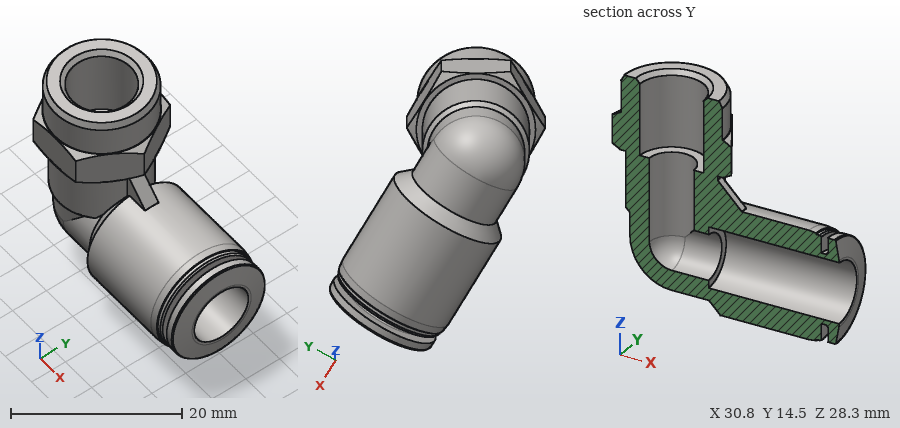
import cadquery as cq
import math


total_length = 30.78
hex_flats = 14.0
hex_corners = hex_flats / math.cos(math.radians(30))
socket_end = total_length - hex_corners / 2

elbow_diameter = 11.4
neck_diameter = 12.5
neck_bottom = 3.63
neck_chamfer = (neck_diameter - elbow_diameter) / 2

hex_bottom = 11.0
hex_height = 5.0
hex_top = hex_bottom + hex_height
hex_chamfer_height = 0.62
hex_face_diameter = 13.9
thread_diameter = 13.8
thread_chamfer_height = 0.83
thread_end_diameter = 12.87
socket_diameter = 14.5
socket_radius = socket_diameter / 2
total_height = 28.25
thread_top = total_height - socket_radius

shoulder_start = 5.02
shoulder_end = shoulder_start + (socket_diameter - elbow_diameter) / 2
rim_taper_start = 18.55
rim_taper_end = 19.58
rim_taper_depth = 0.12
lip_radius = 13.9 / 2
lip_end = 20.3
lip_chamfer_length = 0.28
lip_chamfer_depth = 0.12

stem_radius = 9.4 / 2
collar_start = 21.15
collar_radius = 13.8 / 2
collar_rim_end = 22.07
collar_bevel_length = 0.2
collar_bevel_depth = 0.1
collar_face_radius = 4.37
collar_fillet = 0.37

web_thickness = 2.0
web_reach = 9.5

elbow_bore = 6.0
inlet_bore = 8.55
inlet_mouth = 9.73
tube_bore = 8.0
tube_stop = shoulder_start


def upright_cylinder(diameter, bottom, top):
    return cq.Workplane("XY").workplane(offset=bottom).circle(diameter / 2).extrude(top - bottom)


def horizontal_cylinder(diameter, start, end):
    return cq.Workplane("YZ").workplane(offset=start).circle(diameter / 2).extrude(end - start)


def upright_cone(bottom_diameter, top_diameter, bottom, top):
    profile = [(0, bottom), (bottom_diameter / 2, bottom), (top_diameter / 2, top), (0, top)]
    return cq.Workplane("XZ").polyline(profile).close().revolve(360, (0, 0), (0, 1))


def make_elbow():
    """Two equal round arms mitred together, with a spherical outer corner."""
    riser = upright_cylinder(elbow_diameter, 0, hex_bottom)
    arm = horizontal_cylinder(elbow_diameter, 0, shoulder_start)
    corner = cq.Workplane("XY").sphere(elbow_diameter / 2)
    return riser.union(arm).union(corner)


def make_neck():
    barrel = upright_cylinder(neck_diameter, neck_bottom, hex_bottom)
    return barrel.union(upright_cone(elbow_diameter, neck_diameter, neck_bottom - neck_chamfer, neck_bottom))


def make_hexagon():
    """Hexagon with corners on X, chamfered conically on both faces."""
    prism = cq.Workplane("XY").workplane(offset=hex_bottom).polygon(6, hex_corners).extrude(hex_height)
    face_radius = hex_face_diameter / 2
    corner_radius = hex_corners / 2
    envelope = (
        cq.Workplane("XZ")
        .moveTo(0, hex_bottom)
        .lineTo(face_radius, hex_bottom)
        .lineTo(corner_radius, hex_bottom + hex_chamfer_height)
        .lineTo(corner_radius, hex_top - hex_chamfer_height)
        .lineTo(face_radius, hex_top)
        .lineTo(0, hex_top)
        .close()
        .revolve(360, (0, 0), (0, 1))
    )
    return prism.intersect(envelope)


def make_threaded_end():
    chamfer_start = thread_top - thread_chamfer_height
    barrel = upright_cylinder(thread_diameter, hex_top, chamfer_start)
    return barrel.union(upright_cone(thread_diameter, thread_end_diameter, chamfer_start, thread_top))


def make_socket():
    """Shouldered socket, lip, narrow stem and release collar turned about X."""
    return (
        cq.Workplane("XZ")
        .moveTo(shoulder_start, 0)
        .lineTo(shoulder_start, elbow_diameter / 2)
        .lineTo(shoulder_end, socket_radius)
        .lineTo(rim_taper_start, socket_radius)
        .lineTo(rim_taper_end, socket_radius - rim_taper_depth)
        .lineTo(rim_taper_end, lip_radius)
        .lineTo(lip_end - lip_chamfer_length, lip_radius)
        .lineTo(lip_end, lip_radius - lip_chamfer_depth)
        .lineTo(lip_end, stem_radius)
        .lineTo(collar_start - collar_fillet, stem_radius)
        .radiusArc((collar_start, stem_radius + collar_fillet), -collar_fillet)
        .lineTo(collar_start, collar_radius)
        .lineTo(collar_rim_end, collar_radius)
        .lineTo(collar_rim_end + collar_bevel_length, collar_radius - collar_bevel_depth)
        .lineTo(socket_end, collar_face_radius)
        .lineTo(socket_end, 0)
        .close()
        .revolve(360, (0, 0), (1, 0))
    )


def make_web():
    """Web with a 45 degree edge falling from the neck to the top of the socket."""
    diagonal_sum = web_reach + socket_radius
    corners = [(0, 0), (web_reach, 0), (web_reach, socket_radius)]
    inner_x = diagonal_sum - hex_bottom
    corners += [(inner_x, hex_bottom), (0, hex_bottom)]
    return cq.Workplane("XZ").polyline(corners).close().extrude(web_thickness / 2, both=True)


def make_bores():
    inlet = upright_cylinder(inlet_bore, hex_bottom, thread_top)
    mouth_depth = (inlet_mouth - inlet_bore) / 2
    mouth = upright_cone(inlet_bore, inlet_mouth, thread_top - mouth_depth, thread_top)
    riser = upright_cylinder(elbow_bore, 0, hex_bottom)
    arm = horizontal_cylinder(elbow_bore, 0, tube_stop)
    corner = cq.Workplane("XY").sphere(elbow_bore / 2)
    tube = horizontal_cylinder(tube_bore, tube_stop, socket_end)
    return inlet.union(mouth).union(riser).union(arm).union(corner).union(tube)


body = make_elbow().union(make_neck()).union(make_hexagon()).union(make_threaded_end())
body = body.union(make_socket()).union(make_web())
result = body.cut(make_bores())